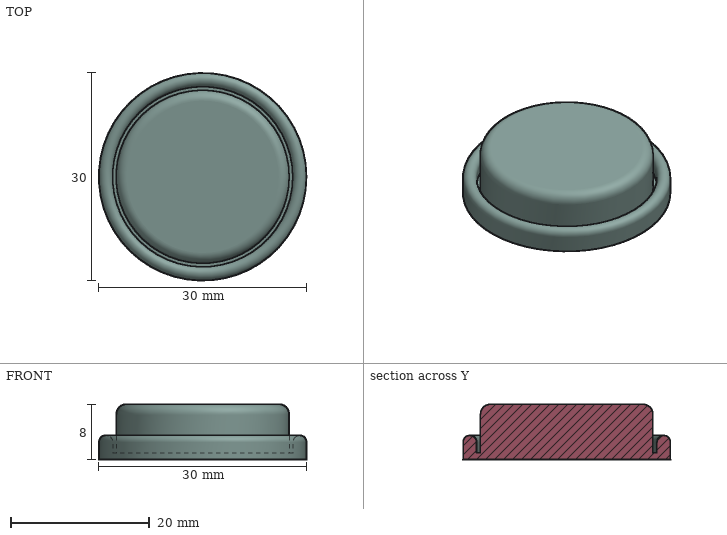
import cadquery as cq

rim_diameter = 30.0
rim_inner_diameter = 26.0
cap_diameter = 25.0
total_height = 8.0
rim_height = 3.5
cap_edge_radius = 1.5
floor_height = 1.0

rim_radius = rim_diameter / 2
rim_inner_radius = rim_inner_diameter / 2
rim_crown_radius = (rim_radius - rim_inner_radius) / 2
rim_crown_centre = (rim_radius + rim_inner_radius) / 2
rim_shoulder = rim_height - rim_crown_radius


def make_rim():
    """Flange disc carrying a raised ring with a fully rounded top."""
    return (
        cq.Workplane("XZ")
        .lineTo(rim_radius, 0)
        .lineTo(rim_radius, rim_shoulder)
        .threePointArc((rim_crown_centre, rim_height), (rim_inner_radius, rim_shoulder))
        .lineTo(rim_inner_radius, floor_height)
        .lineTo(0, floor_height)
        .close()
        .revolve(360, (0, 0, 0), (0, 1, 0))
    )


def make_cap():
    """Central round button with a rounded top edge."""
    return (
        cq.Workplane("XY")
        .circle(cap_diameter / 2)
        .extrude(total_height)
        .faces(">Z")
        .edges()
        .fillet(cap_edge_radius)
    )


result = make_rim().union(make_cap())